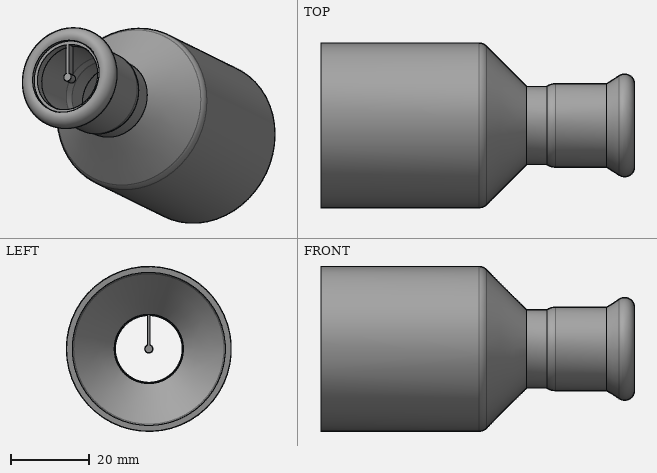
import cadquery as cq
import math

length = 79.9

tube_radius = 42.0 / 2
tube_bore_radius = 39.0 / 2
tube_length = 40.3
cone_angle = math.radians(45)
shoulder_radius = 2.7
shoulder_bore_radius = shoulder_radius - (tube_radius - tube_bore_radius)

neck_radius = 20.0 / 2
neck_bore_radius = 17.65 / 2
neck_end = 57.5
socket_radius = 21.3 / 2
socket_bore_radius = 18.8 / 2
socket_start = 59.8
socket_end = 72.8

bead_section_radius = 2.55
bead_center_x = length - bead_section_radius
bead_center_radius = 10.55
groove_section_radius = bead_section_radius - (socket_radius - socket_bore_radius)
groove_start = bead_center_x - groove_section_radius
groove_end = bead_center_x + groove_section_radius

seal_inner_radius = 17.0 / 2
tab_width = 0.7
tab_disc_radius = 1.0


def shoulder_point(radius, round_radius, angle):
    """Point on the shoulder round, where the angle is measured from the tube wall."""
    return (
        tube_length + round_radius * math.sin(angle),
        radius - round_radius * (1 - math.cos(angle)),
    )


def cone_end(cone_start, end_radius):
    """Point where the cone that begins at cone_start reaches end_radius."""
    x, radius = cone_start
    return (x + (radius - end_radius) / math.tan(cone_angle), end_radius)


def bead_point(angle):
    """Point on the bead, where the angle is measured from the +X direction."""
    return (
        bead_center_x + bead_section_radius * math.cos(angle),
        bead_center_radius + bead_section_radius * math.sin(angle),
    )


def flare_tangent_angle():
    """Angle on the bead where a line from the socket end is tangent to it."""
    dx = socket_end - bead_center_x
    dr = socket_radius - bead_center_radius
    return math.atan2(dr, dx) - math.acos(bead_section_radius / math.hypot(dx, dr))


def neck_step_midpoint():
    """Middle of the arc that rises from the neck and ends tangent to the socket."""
    run = socket_start - neck_end
    rise = socket_radius - neck_radius
    arc_radius = (run**2 + rise**2) / (2 * rise)
    half_angle = math.asin(run / arc_radius) / 2
    return (
        socket_start - arc_radius * math.sin(half_angle),
        socket_radius - arc_radius * (1 - math.cos(half_angle)),
    )


def turn(profile):
    """Revolve a closed (x, radius) profile about the X axis."""
    return profile.close().revolve(360, (0, 0, 0), (1, 0, 0))


def make_fitting():
    outer_cone_start = shoulder_point(tube_radius, shoulder_radius, cone_angle)
    inner_cone_start = shoulder_point(tube_bore_radius, shoulder_bore_radius, cone_angle)
    flare_angle = flare_tangent_angle()
    mouth_angle = math.asin((socket_bore_radius - bead_center_radius) / bead_section_radius)
    profile = (
        cq.Workplane("XY")
        .moveTo(0, tube_bore_radius)
        .lineTo(0, tube_radius)
        .lineTo(tube_length, tube_radius)
        .threePointArc(shoulder_point(tube_radius, shoulder_radius, cone_angle / 2), outer_cone_start)
        .lineTo(*cone_end(outer_cone_start, neck_radius))
        .lineTo(neck_end, neck_radius)
        .threePointArc(neck_step_midpoint(), (socket_start, socket_radius))
        .lineTo(socket_end, socket_radius)
        .lineTo(*bead_point(flare_angle))
        .threePointArc(bead_point(0), bead_point(mouth_angle))
        .lineTo(groove_end, socket_bore_radius)
        .lineTo(groove_end, bead_center_radius)
        .threePointArc(
            (bead_center_x, bead_center_radius + groove_section_radius),
            (groove_start, bead_center_radius),
        )
        .lineTo(groove_start, socket_bore_radius)
        .lineTo(socket_start, socket_bore_radius)
        .lineTo(neck_end, neck_bore_radius)
        .lineTo(*cone_end(inner_cone_start, neck_bore_radius))
        .lineTo(*inner_cone_start)
        .threePointArc(
            shoulder_point(tube_bore_radius, shoulder_bore_radius, cone_angle / 2),
            (tube_length, tube_bore_radius),
        )
    )
    return turn(profile)


def make_seal():
    ring = turn(
        cq.Workplane("XY")
        .moveTo(groove_start, seal_inner_radius)
        .lineTo(groove_start, bead_center_radius)
        .threePointArc(
            (bead_center_x, bead_center_radius + groove_section_radius),
            (groove_end, bead_center_radius),
        )
        .lineTo(groove_end, seal_inner_radius)
    )
    thickness = groove_end - groove_start
    tab_plane = cq.Workplane("YZ", origin=(groove_start, 0, 0))
    stem_length = (seal_inner_radius + bead_center_radius) / 2
    stem = tab_plane.center(0, stem_length / 2).rect(tab_width, stem_length).extrude(thickness)
    disc = tab_plane.circle(tab_disc_radius).extrude(thickness)
    return ring.union(stem).union(disc)


fitting = make_fitting()
seal = make_seal()

result = cq.Compound.makeCompound([fitting.val(), seal.val()])